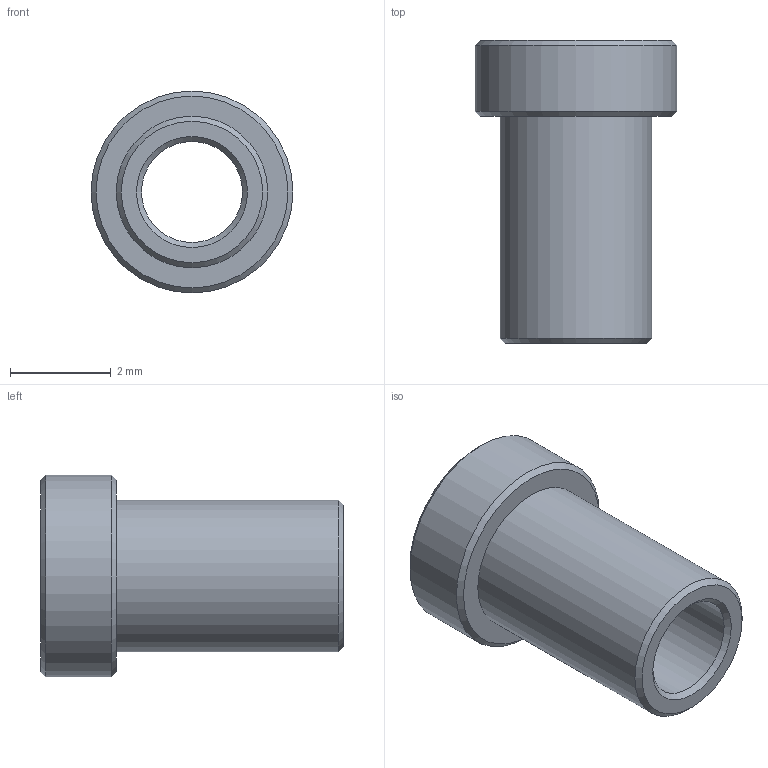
import cadquery as cq

total_length = 6.0
head_diameter = 4.0
head_length = 1.5
shank_diameter = 3.0
bore_diameter = 2.0
edge_chamfer = 0.1

shank_length = total_length - head_length


def cylinder_along_y(diameter, start_y, length):
    """Solid cylinder on the Y axis, from start_y towards +Y."""
    return cq.Workplane("XZ", origin=(0, start_y, 0)).circle(diameter / 2).extrude(-length)


def make_head():
    """Collar at the +Y end, chamfered on both rims."""
    head = cylinder_along_y(head_diameter, shank_length, head_length)
    return head.edges("%CIRCLE").chamfer(edge_chamfer)


def make_shank():
    """Plain sleeve, chamfered on its free -Y rim."""
    shank = cylinder_along_y(shank_diameter, 0, shank_length)
    return shank.faces("<Y").edges().chamfer(edge_chamfer)


def cut_bore(body):
    """Through bore with a chamfered mouth at the -Y end."""
    bored = body.cut(cylinder_along_y(bore_diameter, 0, total_length))
    mouth_edge = bored.faces("<Y").edges(cq.selectors.RadiusNthSelector(0))
    return mouth_edge.chamfer(edge_chamfer)


result = cut_bore(make_head().union(make_shank()))